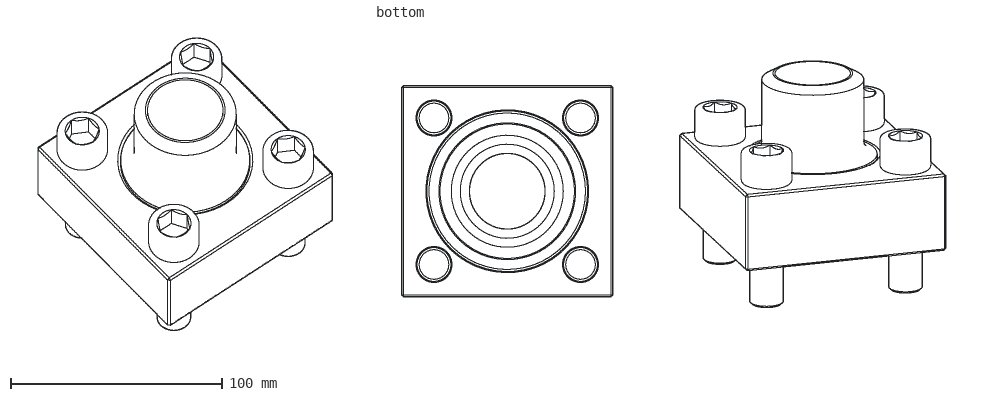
import cadquery as cq
import math

FLANGE_WIDTH = 100.0
FLANGE_BOTTOM = 22.0
FLANGE_THICKNESS = 38.0
FLANGE_TOP = FLANGE_BOTTOM + FLANGE_THICKNESS
FLANGE_EDGE_CHAMFER = 1.0
NECK_HOLE_DIAMETER = 61.5
NECK_HOLE_CHAMFER = 1.2
COLLAR_HOLE_DIAMETER = 77.0
SCREW_HOLE_DIAMETER = 17.0

NIPPLE_TOP = 100.0
NIPPLE_BOTTOM = 19.8
COLLAR_DIAMETER = 76.0
COLLAR_CHAMFER = 1.0
COLLAR_TOP = FLANGE_BOTTOM + FLANGE_THICKNESS / 2
NECK_DIAMETER = 61.0
PIPE_DIAMETER = 48.3
PIPE_BORE_DIAMETER = 35.7
BORE_MOUTH_DIAMETER = 44.5
BORE_TAPER_TOP = 80.2
WELD_BEVEL_ANGLE = 30.0
WELD_LAND_WIDTH = 1.0
NECK_FILLET = (NECK_DIAMETER - PIPE_DIAMETER) / 2
NECK_TOP = FLANGE_TOP

RING_INNER_DIAMETER = 53.0
RING_CORD_DIAMETER = 5.3
GROOVE_OUTER_DIAMETER = 64.7
GROOVE_DEPTH = 4.1

SCREW_CIRCLE_DIAMETER = 98.0
SCREW_COUNT = 4
FIRST_SCREW_ANGLE = 45.0
SHANK_DIAMETER = 16.0
SHANK_TIP_CHAMFER = 1.0
HEAD_DIAMETER = 24.0
HEAD_HEIGHT = 16.0
HEAD_TOP = FLANGE_TOP + HEAD_HEIGHT
HEAD_FILLET = 1.6
SOCKET_WIDTH = 14.0
SOCKET_DEPTH = 11.0
SOCKET_CORNER_DIAMETER = SOCKET_WIDTH / math.cos(math.radians(30))
SOCKET_MOUTH_ANGLE = 45.0
SOCKET_TURN = 60 - FIRST_SCREW_ANGLE


def cylinder(diameter, bottom, top):
    """Upright cylinder on the Z axis between two heights."""
    return cq.Workplane("XY").workplane(offset=bottom).circle(diameter / 2).extrude(top - bottom)


def revolve_profile(profile):
    """Full turn around Z of a profile drawn as (radius, height)."""
    return profile.close().revolve(360, (0, 0, 0), (0, 1, 0))


def screw_angles():
    """Directions from the flange centre to the screws."""
    return [FIRST_SCREW_ANGLE + index * 360 / SCREW_COUNT for index in range(SCREW_COUNT)]


def at_screw(body, angle):
    """Move a body from the Z axis to a screw position and turn it with that position."""
    return body.translate((SCREW_CIRCLE_DIAMETER / 2, 0, 0)).rotate((0, 0, 0), (0, 0, 1), angle)


def make_flange():
    """Square block with a stepped centre hole and four screw holes."""
    block = (
        cq.Workplane("XY")
        .workplane(offset=FLANGE_BOTTOM)
        .rect(FLANGE_WIDTH, FLANGE_WIDTH)
        .extrude(FLANGE_THICKNESS)
        .edges()
        .chamfer(FLANGE_EDGE_CHAMFER)
    )
    neck_radius = NECK_HOLE_DIAMETER / 2
    collar_radius = COLLAR_HOLE_DIAMETER / 2
    centre_hole = revolve_profile(
        cq.Workplane("XZ")
        .moveTo(0, FLANGE_BOTTOM)
        .lineTo(collar_radius, FLANGE_BOTTOM)
        .lineTo(collar_radius, COLLAR_TOP)
        .lineTo(neck_radius, COLLAR_TOP)
        .lineTo(neck_radius, FLANGE_TOP - NECK_HOLE_CHAMFER)
        .lineTo(neck_radius + NECK_HOLE_CHAMFER, FLANGE_TOP)
        .lineTo(0, FLANGE_TOP)
    )
    flange = block.cut(centre_hole)
    screw_hole = cylinder(SCREW_HOLE_DIAMETER, FLANGE_BOTTOM, FLANGE_TOP)
    for angle in screw_angles():
        flange = flange.cut(at_screw(screw_hole, angle))
    return flange


def make_nipple():
    """Turned pipe end with a flared neck, a collar, a tapering bore and a ring groove."""
    pipe_radius = PIPE_DIAMETER / 2
    neck_radius = NECK_DIAMETER / 2
    collar_radius = COLLAR_DIAMETER / 2
    bore_radius = PIPE_BORE_DIAMETER / 2
    land_radius = bore_radius + WELD_LAND_WIDTH
    bevel_height = (pipe_radius - land_radius) * math.tan(math.radians(WELD_BEVEL_ANGLE))
    fillet_offset = NECK_FILLET * math.sin(math.radians(45))
    fillet_middle = (neck_radius - fillet_offset, NECK_TOP + NECK_FILLET - fillet_offset)
    body = revolve_profile(
        cq.Workplane("XZ")
        .moveTo(BORE_MOUTH_DIAMETER / 2, NIPPLE_BOTTOM)
        .lineTo(collar_radius - COLLAR_CHAMFER, NIPPLE_BOTTOM)
        .lineTo(collar_radius, NIPPLE_BOTTOM + COLLAR_CHAMFER)
        .lineTo(collar_radius, COLLAR_TOP)
        .lineTo(neck_radius, COLLAR_TOP)
        .lineTo(neck_radius, NECK_TOP)
        .threePointArc(fillet_middle, (pipe_radius, NECK_TOP + NECK_FILLET))
        .lineTo(pipe_radius, NIPPLE_TOP - bevel_height)
        .lineTo(land_radius, NIPPLE_TOP)
        .lineTo(bore_radius, NIPPLE_TOP)
        .lineTo(bore_radius, BORE_TAPER_TOP)
    )
    groove = (
        cq.Workplane("XY")
        .workplane(offset=NIPPLE_BOTTOM)
        .circle(GROOVE_OUTER_DIAMETER / 2)
        .circle(RING_INNER_DIAMETER / 2)
        .extrude(GROOVE_DEPTH)
    )
    return body.cut(groove)


def make_sealing_ring():
    """Round ring that rests on the groove floor and stands out below the nipple."""
    cord_radius = RING_CORD_DIAMETER / 2
    centre_radius = RING_INNER_DIAMETER / 2 + cord_radius
    centre_height = NIPPLE_BOTTOM + GROOVE_DEPTH - cord_radius
    cord = cq.Workplane("XZ").center(centre_radius, centre_height).circle(cord_radius)
    return cord.revolve(360, (-centre_radius, 0, 0), (-centre_radius, 1, 0))


def make_screw():
    """Socket head screw standing on Z = 0, on the Z axis."""
    head = cylinder(HEAD_DIAMETER, FLANGE_TOP, HEAD_TOP).faces(">Z or <Z").edges().fillet(HEAD_FILLET)
    shank = cylinder(SHANK_DIAMETER, 0, FLANGE_TOP).faces("<Z").chamfer(SHANK_TIP_CHAMFER)
    socket = (
        cq.Workplane("XY")
        .workplane(offset=HEAD_TOP - SOCKET_DEPTH)
        .transformed(rotate=(0, 0, SOCKET_TURN))
        .polygon(6, SOCKET_CORNER_DIAMETER)
        .extrude(SOCKET_DEPTH)
    )
    mouth_radius = SOCKET_CORNER_DIAMETER / 2
    flat_radius = SOCKET_WIDTH / 2
    mouth_depth = (mouth_radius - flat_radius) * math.tan(math.radians(SOCKET_MOUTH_ANGLE))
    mouth = revolve_profile(
        cq.Workplane("XZ")
        .moveTo(0, HEAD_TOP)
        .lineTo(mouth_radius, HEAD_TOP)
        .lineTo(flat_radius, HEAD_TOP - mouth_depth)
        .lineTo(0, HEAD_TOP - mouth_depth)
    )
    return head.union(shank).cut(socket).cut(mouth)


flange = make_flange()
nipple = make_nipple()
sealing_ring = make_sealing_ring()
screw = make_screw()
screws = [at_screw(screw, angle) for angle in screw_angles()]

result = cq.Compound.makeCompound(
    [flange.val(), nipple.val(), sealing_ring.val(), *[placed.val() for placed in screws]]
)